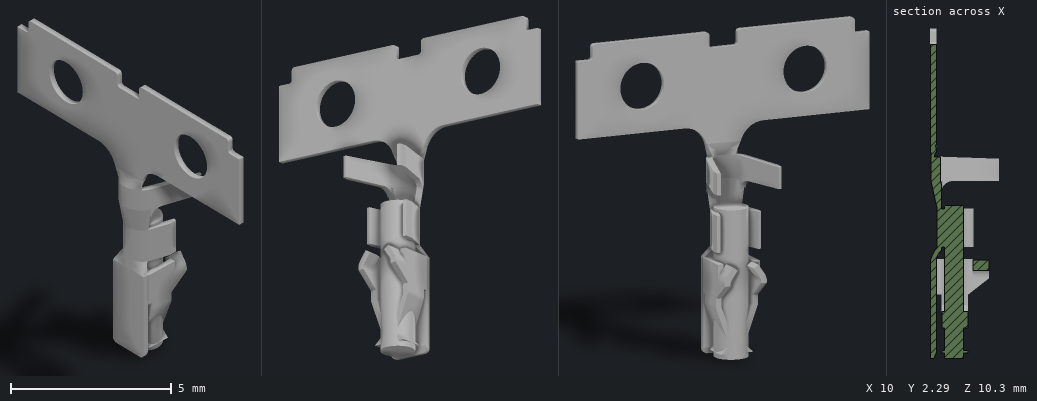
import cadquery as cq
import math

SHEET = 0.2
TOTAL_LENGTH = 10.3

STRIP_WIDTH = 10.0
STRIP_HEIGHT = 3.0
STRIP_STEP = 0.5
TAB_OUTER_X = 4.5
TAB_INNER_X = 0.49
TAB_CORNER_RADIUS = 0.1
PILOT_DIAMETER = 1.5
PILOT_X = 2.8
PILOT_DROP = 1.5
NECK_FILLET = 0.8
NECK_FILLET_END_X = 0.56
NECK_LENGTH = 0.58

ARM_LEAN = 16.5
ARM_TIP_BEVEL_LENGTH = 0.25
ARM_TIP_BEVEL_DEPTH = 0.08
INSULATION_RADIUS = 0.7
INSULATION_BOTTOM_Y = -0.15
INSULATION_ARM_TOP_Y = 2.14
INSULATION_Z = (5.54, 6.3)
INSULATION_ARM_TAPER = 0.06
ARM_ROOT_FILLET = 0.36
CONDUCTOR_RADIUS = 0.61
CONDUCTOR_BOTTOM_Y = 0.0
CONDUCTOR_ARM_TOP_Y = 1.36
CONDUCTOR_Z = (3.49, 4.69)
UPPER_NECK_ANGLE = 48.0
LOWER_NECK_ANGLE = 62.0

CORE_DIAMETER = 1.09
CORE_LENGTH = 4.79

BOX_LENGTH = 3.11
PLATE_HALF_WIDTH = 0.69
PLATE_CORNER_RADIUS = 0.16
PLATE_TIP_BEVEL = (0.08, 0.21)
WALL_OUTER_X = 0.72
WALL_TOP_Y = 1.33
WALL_BOTTOM_Z = 2.0
LUG_TOP_Y = 1.84
LUG_BOTTOM_Z = 2.51
LUG_BEND_START_Z = 2.56
LUG_BEND_END_Z = 2.82
LUG_BEND_ANGLE = 35.0
SPRING_Y = (0.35, 1.18)
SPRING_BEND_Z = 1.68
SPRING_BEND_RADIUS = 0.34
SPRING_PINCH = (0.27, 0.45)
SPRING_TIP = (0.56, 0.18)

STRIP_BOTTOM_Z = TOTAL_LENGTH - STRIP_HEIGHT
NECK_END_Z = STRIP_BOTTOM_Z - NECK_LENGTH
NECK_FILLET_START_X = NECK_FILLET_END_X + NECK_FILLET
NECK_FILLET_RISE = NECK_FILLET - NECK_LENGTH
NECK_HALF_WIDTH = NECK_FILLET_START_X - math.sqrt(NECK_FILLET**2 - NECK_FILLET_RISE**2)
LEAN = math.radians(ARM_LEAN)
INSULATION_ROOT_Y = INSULATION_BOTTOM_Y + INSULATION_RADIUS * (1 - math.sin(LEAN))
TROUGH_ANGLE = 90 - ARM_LEAN


def both_sides(body):
    """Body together with its mirror image across X = 0."""
    return body.union(body.mirror("YZ"))


def extrude_xy(sketch, z_range):
    return sketch.extrude(z_range[1] - z_range[0]).translate((0, 0, z_range[0]))


def carrier_strip():
    step_z = TOTAL_LENGTH - STRIP_STEP
    strip = (
        cq.Workplane("XZ")
        .rect(STRIP_WIDTH, step_z - STRIP_BOTTOM_Z)
        .extrude(-SHEET)
        .translate((0, 0, (step_z + STRIP_BOTTOM_Z) / 2))
    )
    tab_width = TAB_OUTER_X - TAB_INNER_X
    tab = cq.Workplane("XY").box(tab_width, SHEET, STRIP_STEP, centered=(False, False, False))
    strip = strip.union(both_sides(tab.translate((TAB_INNER_X, 0, step_z))))
    margin = 0.01
    notch_corners = cq.selectors.BoxSelector(
        (-TAB_OUTER_X - margin, -margin, step_z - margin),
        (TAB_OUTER_X + margin, SHEET + margin, TOTAL_LENGTH + margin),
    )
    strip = strip.edges("|Y").edges(notch_corners).fillet(TAB_CORNER_RADIUS)
    neck = (
        cq.Workplane("XZ")
        .moveTo(-NECK_FILLET_START_X, STRIP_BOTTOM_Z)
        .radiusArc((-NECK_HALF_WIDTH, NECK_END_Z), NECK_FILLET)
        .lineTo(NECK_HALF_WIDTH, NECK_END_Z)
        .radiusArc((NECK_FILLET_START_X, STRIP_BOTTOM_Z), NECK_FILLET)
        .close()
        .extrude(-SHEET)
    )
    holes = (
        cq.Workplane("XZ")
        .pushPoints([(-PILOT_X, 0), (PILOT_X, 0)])
        .circle(PILOT_DIAMETER / 2)
        .extrude(-SHEET)
        .translate((0, 0, TOTAL_LENGTH - PILOT_DROP))
    )
    return strip.union(neck).cut(holes)


def trough(radius, bottom_y, half_angle):
    """Section of a rolled sheet: a circular band open toward +Y."""
    center_y = bottom_y + radius
    inner_radius = radius - SHEET
    side = math.sin(math.radians(half_angle))
    drop = math.cos(math.radians(half_angle))
    return (
        cq.Workplane("XY")
        .moveTo(-radius * side, center_y - radius * drop)
        .threePointArc((0, bottom_y), (radius * side, center_y - radius * drop))
        .lineTo(inner_radius * side, center_y - inner_radius * drop)
        .threePointArc((0, bottom_y + SHEET), (-inner_radius * side, center_y - inner_radius * drop))
        .close()
    )


def flat(half_width):
    """Section of the unrolled sheet."""
    return (
        cq.Workplane("XY")
        .moveTo(-half_width, 0)
        .lineTo(half_width, 0)
        .lineTo(half_width, SHEET)
        .lineTo(-half_width, SHEET)
        .close()
    )


def transition(lower, lower_z, upper, upper_z):
    wires = [
        lower.val().moved(cq.Location(cq.Vector(0, 0, lower_z))),
        upper.val().moved(cq.Location(cq.Vector(0, 0, upper_z))),
    ]
    return cq.Workplane(cq.Solid.makeLoft(wires, True))


def arm(radius, bottom_y, top_y):
    """Section of the +X crimp arm, tangent to its trough and beveled outside at the tip."""
    root_x = radius * math.cos(LEAN)
    root_y = bottom_y + radius * (1 - math.sin(LEAN))
    length = (top_y - root_y - SHEET * math.sin(LEAN)) / math.cos(LEAN)

    def point(along, inward):
        return (
            root_x + along * math.sin(LEAN) - inward * math.cos(LEAN),
            root_y + along * math.cos(LEAN) + inward * math.sin(LEAN),
        )

    return cq.Workplane("XY").polyline(
        [
            point(0, 0),
            point(length - ARM_TIP_BEVEL_LENGTH, 0),
            point(length, ARM_TIP_BEVEL_DEPTH),
            point(length, SHEET),
            point(0, SHEET),
        ]
    ).close()


def insulation_crimp():
    low, high = INSULATION_Z
    base = extrude_xy(trough(INSULATION_RADIUS, INSULATION_BOTTOM_Y, TROUGH_ANGLE), INSULATION_Z)
    arms = both_sides(
        extrude_xy(
            arm(INSULATION_RADIUS, INSULATION_BOTTOM_Y, INSULATION_ARM_TOP_Y),
            (low - ARM_ROOT_FILLET, high),
        )
    )
    root_y = INSULATION_ROOT_Y
    fillet_mid = ARM_ROOT_FILLET * (1 - math.sqrt(0.5))
    side_shape = (
        cq.Workplane("YZ")
        .moveTo(root_y, low - ARM_ROOT_FILLET)
        .threePointArc(
            (root_y + fillet_mid, low - fillet_mid), (root_y + ARM_ROOT_FILLET, low)
        )
        .lineTo(INSULATION_ARM_TOP_Y, low)
        .lineTo(INSULATION_ARM_TOP_Y, high - INSULATION_ARM_TAPER)
        .lineTo(root_y, high)
        .close()
        .extrude(INSULATION_ARM_TOP_Y, both=True)
    )
    return base.union(arms.intersect(side_shape))


def conductor_crimp():
    base = extrude_xy(trough(CONDUCTOR_RADIUS, CONDUCTOR_BOTTOM_Y, TROUGH_ANGLE), CONDUCTOR_Z)
    arms = extrude_xy(
        arm(CONDUCTOR_RADIUS, CONDUCTOR_BOTTOM_Y, CONDUCTOR_ARM_TOP_Y), CONDUCTOR_Z
    )
    return base.union(both_sides(arms))


def necks():
    upper = transition(
        trough(INSULATION_RADIUS, INSULATION_BOTTOM_Y, UPPER_NECK_ANGLE),
        INSULATION_Z[1],
        flat(NECK_HALF_WIDTH),
        NECK_END_Z,
    )
    middle = transition(
        trough(CONDUCTOR_RADIUS, CONDUCTOR_BOTTOM_Y, TROUGH_ANGLE),
        CONDUCTOR_Z[1],
        trough(INSULATION_RADIUS, INSULATION_BOTTOM_Y, TROUGH_ANGLE),
        INSULATION_Z[0],
    )
    middle_trim = (
        cq.Workplane("XY")
        .box(2 * INSULATION_RADIUS, INSULATION_RADIUS, TOTAL_LENGTH, centered=(True, False, False))
        .translate((0, INSULATION_ROOT_Y, 0))
    )
    middle = middle.cut(middle_trim)
    lower = transition(
        flat(PLATE_HALF_WIDTH),
        BOX_LENGTH,
        trough(CONDUCTOR_RADIUS, CONDUCTOR_BOTTOM_Y, LOWER_NECK_ANGLE),
        CONDUCTOR_Z[0],
    )
    return upper.union(middle).union(lower)


def core():
    radius = CORE_DIAMETER / 2
    return cq.Workplane("XY").center(0, SHEET + radius).circle(radius).extrude(CORE_LENGTH)


def contact_plate():
    plate = cq.Workplane("XY").box(
        2 * PLATE_HALF_WIDTH, SHEET, BOX_LENGTH, centered=(True, False, False)
    )
    plate = plate.edges("|Y and <Z").fillet(PLATE_CORNER_RADIUS)
    bevel_y, bevel_z = PLATE_TIP_BEVEL
    bevel = (
        cq.Workplane("YZ")
        .polyline([(SHEET, 0), (SHEET, bevel_z), (SHEET - bevel_y, 0)])
        .close()
        .extrude(PLATE_HALF_WIDTH, both=True)
    )
    return plate.cut(bevel)


def box_wall():
    """The +X wall: a tall plate whose upper edge slopes up to the lug."""
    return (
        cq.Workplane("YZ")
        .polyline(
            [
                (SHEET, WALL_BOTTOM_Z),
                (SPRING_Y[1], WALL_BOTTOM_Z),
                (LUG_TOP_Y, LUG_BOTTOM_Z),
                (LUG_TOP_Y, LUG_BEND_START_Z),
                (WALL_TOP_Y, LUG_BEND_START_Z),
                (WALL_TOP_Y, BOX_LENGTH),
                (SHEET, BOX_LENGTH),
            ]
        )
        .close()
        .extrude(SHEET)
        .translate((WALL_OUTER_X - SHEET, 0, 0))
    )


def lug():
    """The +X lug: continues the wall upward and bends inward over the core."""
    bend = math.radians(LUG_BEND_ANGLE)
    outer_radius = (LUG_BEND_END_Z - LUG_BEND_START_Z) / math.sin(bend)
    center_x = WALL_OUTER_X - outer_radius
    straight = (BOX_LENGTH - LUG_BEND_END_Z) / math.cos(bend)

    def point(radius, angle, beyond=0.0):
        return (
            center_x + radius * math.cos(angle) - beyond * math.sin(angle),
            LUG_BEND_START_Z + radius * math.sin(angle) + beyond * math.cos(angle),
        )

    inner_radius = outer_radius - SHEET
    profile = (
        cq.Workplane("XZ")
        .moveTo(*point(outer_radius, 0))
        .threePointArc(point(outer_radius, bend / 2), point(outer_radius, bend))
        .lineTo(*point(outer_radius, bend, straight))
        .lineTo(*point(inner_radius, bend, straight))
        .lineTo(*point(inner_radius, bend))
        .threePointArc(point(inner_radius, bend / 2), point(inner_radius, 0))
        .close()
    )
    return profile.extrude(-(LUG_TOP_Y - WALL_TOP_Y)).translate((0, WALL_TOP_Y, 0))


def spring():
    """The +X contact spring: pinches inward to the core and flares out at its tip."""
    outer_face = [
        (WALL_OUTER_X, WALL_BOTTOM_Z),
        (WALL_OUTER_X, SPRING_BEND_Z),
        SPRING_PINCH,
        SPRING_TIP,
    ]
    inner_face = [(x - SHEET, z) for x, z in reversed(outer_face)]
    profile = cq.Workplane("XZ").polyline(outer_face + inner_face).close()
    blade = profile.extrude(-(SPRING_Y[1] - SPRING_Y[0])).translate((0, SPRING_Y[0], 0))
    bend_edge = cq.selectors.NearestToPointSelector((WALL_OUTER_X, sum(SPRING_Y) / 2, SPRING_BEND_Z))
    return blade.edges("|Y").edges(bend_edge).fillet(SPRING_BEND_RADIUS)


def contact_box():
    side = box_wall().union(lug()).union(spring())
    return contact_plate().union(both_sides(side))


result = (
    carrier_strip()
    .union(necks())
    .union(insulation_crimp())
    .union(conductor_crimp())
    .union(core())
    .union(contact_box())
)